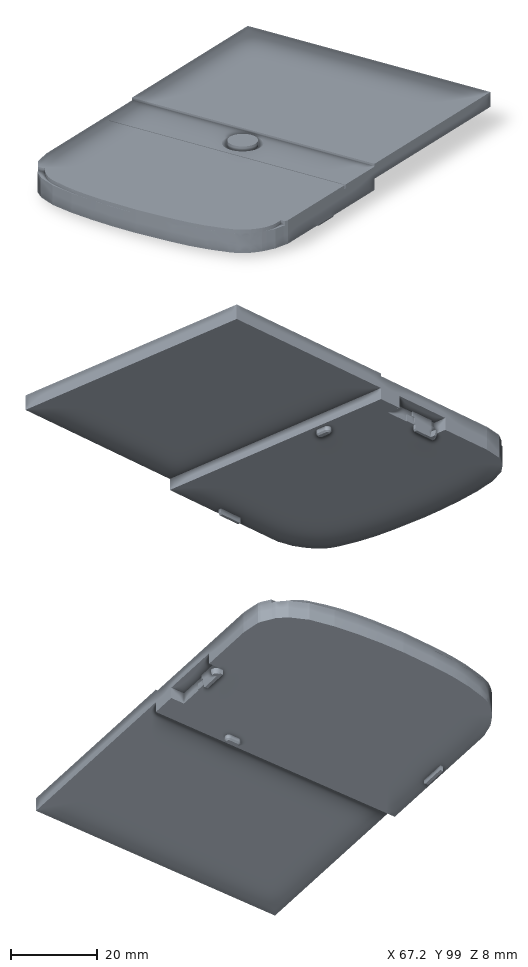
import cadquery as cq

WIDTH = 67.2
LENGTH = 99.0
BASE_HEIGHT = 5.9
SCREEN_RISE = 0.7
SCREEN_THICKNESS = 3.8
SCREEN_LENGTH = 48.4
FOOT_DROP = 1.4

LEFT = -WIDTH / 2
RIGHT = WIDTH / 2
BACK = LENGTH / 2
FRONT = -LENGTH / 2
SCREEN_FRONT = BACK - SCREEN_LENGTH
TOP = BASE_HEIGHT + SCREEN_RISE
MID_X = 0.9

COVER_THICKNESS = 1.0
COVER_FLOOR = BASE_HEIGHT - COVER_THICKNESS
COVER_HALF_WIDTH = 31.4
COVER_BACK_GAP = 0.3
TAB_REACH = 1.4
TAB_WIDTH = 1.4
TAB_PITCH = 7.7
TAB_COUNT = 4
FIRST_TAB_Y = -12.1
COVER_BACK = FIRST_TAB_Y + TAB_WIDTH / 2
LEFT_WALL_END_Y = -42.0
RIGHT_WALL_END_Y = FIRST_TAB_Y - (TAB_COUNT - 1) * TAB_PITCH - TAB_WIDTH / 2
FRONT_CURVE = [
    (0, FRONT),
    (9.9, -49.1),
    (18.2, -48.1),
    (23.4, -46.8),
    (26.4, -45.6),
    (28.4, -44.0),
    (30.1, -42.0),
    (COVER_HALF_WIDTH, -37.8),
]

LEFT_FACETS = [
    (LEFT, -34.4),
    (-33.5, -35.5),
    (-32.9, -39.2),
    (-32.6, -39.8),
    (-31.0, -42.2),
    (-30.6, -42.9),
    (-28.3, -44.8),
    (-24.2, -46.7),
    (-23.8, -46.9),
    (-17.6, -48.2),
]
FRONT_ARC_MIDDLE = (-8.4, -49.2)
RIGHT_FACETS = [
    (31.6, -41.0),
    (32.7, -38.9),
    (33.3, -36.3),
    (RIGHT, -35.1),
]

BUTTON_Y = -4.7
BUTTON_DIAMETER = 7.1
DISH_DIAMETER = 9.6
DISH_DEPTH = 0.7

NOTCH_BACK = -5.1
NOTCH_FRONT = -20.5
NOTCH_HEIGHT = 3.1
NOTCH_DEPTH = 3.6
LEDGE_BACK = -11.2
LEDGE_HEIGHT = 1.8
LEDGE_DEPTH = 0.2

FOOT_OUTER_OFFSET = 31.4
FOOT_THICKNESS = 0.8
FOOT_BACK = -13.5
FOOT_FRONT = -20.4
FOOT_STEP = 0.4
STEM_BACK = -12.9
STEM_FRONT = -19.1
CLIP_RADIUS = 1.5
CLIP_BEVEL_HEIGHT = 0.7
CLIP_BEVEL_WIDTH = 0.3

BOSS_X = -13.5
BOSS_Y = -1.0
BOSS_LENGTH = 4.1
BOSS_WIDTH = 1.9
BOSS_BEVEL = 0.4


def box(x_range, y_range, z_range):
    """Block between the given limits."""
    size = [high - low for low, high in (x_range, y_range, z_range)]
    corner = (x_range[0], y_range[0], z_range[0])
    return cq.Workplane("XY").box(*size, centered=False).translate(corner)


def front_curve(side, last=None):
    """Points of the rounded front on one side (-1 left, +1 right), middle first."""
    return [(MID_X + side * offset, y) for offset, y in FRONT_CURVE[:last]]


def base_block():
    """Outline of the base: facets on the left, a smooth curve then facets on the right."""
    return (
        cq.Workplane("XY")
        .moveTo(LEFT, SCREEN_FRONT)
        .polyline(LEFT_FACETS, includeCurrent=True)
        .threePointArc(FRONT_ARC_MIDDLE, (MID_X, FRONT))
        .spline(front_curve(1, -1)[1:], includeCurrent=True)
        .polyline(RIGHT_FACETS, includeCurrent=True)
        .lineTo(RIGHT, SCREEN_FRONT)
        .close()
        .extrude(BASE_HEIGHT)
    )


def cover_shape(back):
    """Cover plate with side tabs, its back edge at the given Y."""
    curve = front_curve(-1)[::-1] + front_curve(1)[1:]
    plate = (
        cq.Workplane("XY", origin=(0, 0, COVER_FLOOR))
        .moveTo(MID_X - COVER_HALF_WIDTH, back)
        .lineTo(*curve[0])
        .spline(curve[1:], includeCurrent=True)
        .lineTo(MID_X + COVER_HALF_WIDTH, back)
        .close()
        .extrude(COVER_THICKNESS)
    )
    tab_half_span = COVER_HALF_WIDTH + TAB_REACH
    for i in range(TAB_COUNT):
        tab_y = FIRST_TAB_Y - i * TAB_PITCH
        tab_back = back if i == 0 else tab_y + TAB_WIDTH / 2
        plate = plate.union(box(
            (MID_X - tab_half_span, MID_X + tab_half_span),
            (tab_y - TAB_WIDTH / 2, tab_back),
            (COVER_FLOOR, BASE_HEIGHT),
        ))
    return plate.intersect(base_block())


def cover_pocket():
    """Recess for the cover, open all around the front of the base."""
    pocket_height = (COVER_FLOOR, BASE_HEIGHT)
    open_left = box((LEFT, MID_X), (FRONT, LEFT_WALL_END_Y), pocket_height)
    open_right = box((MID_X, RIGHT), (FRONT, RIGHT_WALL_END_Y), pocket_height)
    return cover_shape(COVER_BACK + COVER_BACK_GAP).union(open_left).union(open_right)


def button_dish():
    """Conical dish that narrows to the button diameter."""
    return (
        cq.Workplane("XY", origin=(MID_X, BUTTON_Y, BASE_HEIGHT))
        .circle(DISH_DIAMETER / 2)
        .workplane(offset=-DISH_DEPTH)
        .circle(BUTTON_DIAMETER / 2)
        .loft(ruled=True)
    )


def side_notch():
    """Notch open to the left and below, with a low ledge left on its inner wall."""
    inner = LEFT + NOTCH_DEPTH
    notch = box((LEFT, inner), (NOTCH_FRONT, NOTCH_BACK), (0, NOTCH_HEIGHT))
    ledge = box((inner - LEDGE_DEPTH, inner), (NOTCH_FRONT, LEDGE_BACK), (0, LEDGE_HEIGHT))
    return notch.cut(ledge)


def foot(outer_x, inward):
    """Foot plate with a stem up to the notch ceiling; inward is +1 or -1 along X."""
    lower_back = FOOT_BACK - FOOT_STEP
    outline = [
        (STEM_BACK, NOTCH_HEIGHT),
        (STEM_BACK, LEDGE_HEIGHT),
        (FOOT_BACK, LEDGE_HEIGHT),
        (FOOT_BACK, FOOT_STEP),
        (lower_back, 0),
        (lower_back, FOOT_STEP - FOOT_DROP),
        (lower_back - FOOT_STEP, -FOOT_DROP),
        (FOOT_FRONT, -FOOT_DROP),
        (FOOT_FRONT, 0),
        (STEM_FRONT, 0),
        (STEM_FRONT, NOTCH_HEIGHT),
    ]
    return (
        cq.Workplane("YZ", origin=(outer_x, 0, 0))
        .polyline(outline)
        .close()
        .extrude(inward * FOOT_THICKNESS)
    )


def clip(outer_x):
    """Quarter-round clip on the outer front of the left foot, beveled at the bottom."""
    bevel_top = CLIP_BEVEL_HEIGHT - FOOT_DROP
    round_block = (
        cq.Workplane("XZ")
        .polyline([
            (0, 0),
            (CLIP_RADIUS, 0),
            (CLIP_RADIUS, bevel_top),
            (CLIP_RADIUS - CLIP_BEVEL_WIDTH, -FOOT_DROP),
            (0, -FOOT_DROP),
        ])
        .close()
        .revolve(360, (0, 0, 0), (0, 1, 0))
    )
    quarter = box((-CLIP_RADIUS, 0), (-CLIP_RADIUS, 0), (-FOOT_DROP, 0))
    return round_block.intersect(quarter).translate((outer_x, FOOT_FRONT + CLIP_RADIUS, 0))


def boss():
    """Oval boss with a beveled lower edge."""
    return (
        cq.Workplane("XY", origin=(BOSS_X, BOSS_Y, 0))
        .slot2D(BOSS_LENGTH, BOSS_WIDTH)
        .extrude(-FOOT_DROP)
        .faces("<Z")
        .chamfer(BOSS_BEVEL)
    )


def make_base():
    """Base with the cover recess, button dish, side notch, feet and boss."""
    left_foot_x = MID_X - FOOT_OUTER_OFFSET
    right_foot_x = MID_X + FOOT_OUTER_OFFSET
    body = base_block().cut(cover_pocket()).cut(button_dish()).cut(side_notch())
    for part in (foot(left_foot_x, 1), clip(left_foot_x), foot(right_foot_x, -1), boss()):
        body = body.union(part)
    return body


def make_screen():
    """Flat screen plate that butts against the back of the base."""
    return box((LEFT, RIGHT), (SCREEN_FRONT, BACK), (TOP - SCREEN_THICKNESS, TOP))


def make_cover():
    """Cover plate that fills the recess, level with the top of the base."""
    return cover_shape(COVER_BACK)


def make_button():
    """Round button that stands on the bottom of the dish."""
    height = DISH_DEPTH + SCREEN_RISE
    return (
        cq.Workplane("XY", origin=(MID_X, BUTTON_Y, TOP - height))
        .circle(BUTTON_DIAMETER / 2)
        .extrude(height)
    )


base = make_base()
screen = make_screen()
cover = make_cover()
button = make_button()

result = cq.Compound.makeCompound([body.solids().val() for body in (base, screen, cover, button)])